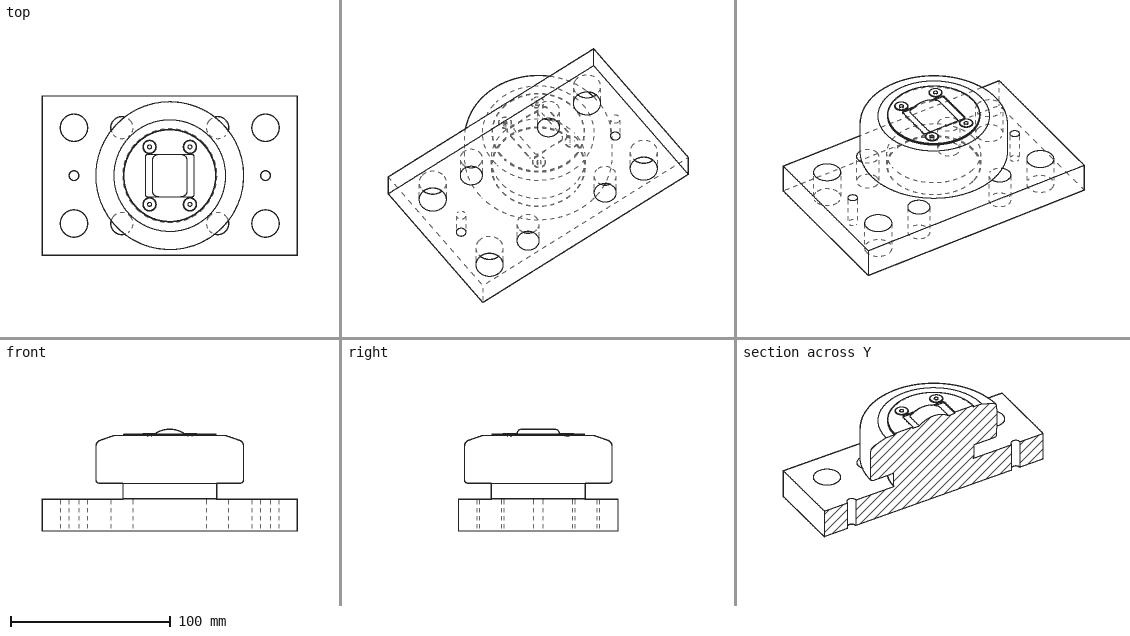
import cadquery as cq

PLATE_LENGTH = 160.0
PLATE_WIDTH = 100.0
PLATE_THICKNESS = 20.0
MOUNT_HOLE_DIAMETER = 17.0
MOUNT_HOLE_X = 60.0
INNER_HOLE_DIAMETER = 13.84
INNER_HOLE_X = 30.0
HOLE_Y = 30.0
PIN_HOLE_DIAMETER = 6.0
PIN_HOLE_X = MOUNT_HOLE_X

STUD_DIAMETER = 59.0
STUD_FOOT_CHAMFER = 0.5
STUD_FACE_DIAMETER = 58.0
STUD_FACE_CHAMFER = 0.3
STUD_TOP_Z = 61.0

ROLLER_EDGE_DIAMETER = 92.5
ROLLER_CROWN = 0.1
ROLLER_BOTTOM_Z = 30.0
ROLLER_TOP_Z = 60.0
ROLLER_TOP_FLAT_DIAMETER = 70.0
ROLLER_SHOULDER_Z = 56.1
ROLLER_TOP_FILLET = 4.0
ROLLER_BOTTOM_FILLET = 2.0
SELECTION_MARGIN = 0.1

POCKET_LENGTH_X = 30.6
POCKET_LENGTH_Y = 26.6
POCKET_DEPTH = 1.0
POCKET_CORNER_RADIUS = 1.5
SIDE_ROLLER_RADIUS = 16.5
SIDE_ROLLER_TOP_Z = 64.0
SIDE_ROLLER_CROWN = 0.1
SIDE_ROLLER_END_FILLET = 2.8

SCREW_X = 12.65
SCREW_Y = 18.0
SCREW_HEAD_DIAMETER = 8.4
SCREW_HEAD_TOP_DIAMETER = 7.8
SCREW_HEAD_HEIGHT = 0.25
SCREW_SOCKET_DIAMETER = 2.5
SCREW_SOCKET_DEPTH = 2.0


def mirrored_points(x, y):
    return [(sx * x, sy * y) for sx in (-1, 1) for sy in (-1, 1)]


def make_plate():
    plate = cq.Workplane("XY").box(
        PLATE_LENGTH, PLATE_WIDTH, PLATE_THICKNESS, centered=(True, True, False)
    )
    hole_groups = (
        (mirrored_points(MOUNT_HOLE_X, HOLE_Y), MOUNT_HOLE_DIAMETER),
        (mirrored_points(INNER_HOLE_X, HOLE_Y), INNER_HOLE_DIAMETER),
        ([(-PIN_HOLE_X, 0), (PIN_HOLE_X, 0)], PIN_HOLE_DIAMETER),
    )
    for points, diameter in hole_groups:
        plate = plate.faces(">Z").workplane(origin=(0, 0, 0)).pushPoints(points).hole(diameter)
    return plate


def make_stud():
    stud = (
        cq.Workplane("XY", origin=(0, 0, PLATE_THICKNESS))
        .circle(STUD_DIAMETER / 2)
        .extrude(ROLLER_TOP_Z - PLATE_THICKNESS)
        .faces("<Z")
        .edges()
        .chamfer(STUD_FOOT_CHAMFER)
    )
    face = (
        cq.Workplane("XY", origin=(0, 0, ROLLER_TOP_Z))
        .circle(STUD_FACE_DIAMETER / 2)
        .extrude(STUD_TOP_Z - ROLLER_TOP_Z)
        .faces(">Z")
        .edges()
        .chamfer(STUD_FACE_CHAMFER)
    )
    return stud.union(face)


def make_roller():
    edge_radius = ROLLER_EDGE_DIAMETER / 2
    middle_z = (ROLLER_BOTTOM_Z + ROLLER_SHOULDER_Z) / 2
    roller = (
        cq.Workplane("XZ")
        .moveTo(0, ROLLER_BOTTOM_Z)
        .lineTo(edge_radius, ROLLER_BOTTOM_Z)
        .threePointArc((edge_radius + ROLLER_CROWN, middle_z), (edge_radius, ROLLER_SHOULDER_Z))
        .lineTo(ROLLER_TOP_FLAT_DIAMETER / 2, ROLLER_TOP_Z)
        .lineTo(0, ROLLER_TOP_Z)
        .close()
        .revolve(360, (0, 0), (0, 1))
    )
    roller = roller.faces("<Z").edges().fillet(ROLLER_BOTTOM_FILLET)
    shoulder_edge = cq.selectors.BoxSelector(
        (-edge_radius, -edge_radius, ROLLER_SHOULDER_Z - SELECTION_MARGIN),
        (edge_radius, edge_radius, ROLLER_SHOULDER_Z + SELECTION_MARGIN),
    )
    return roller.edges(shoulder_edge).fillet(ROLLER_TOP_FILLET)


def make_pocket():
    return (
        cq.Workplane("XY", origin=(0, 0, STUD_TOP_Z - POCKET_DEPTH))
        .rect(POCKET_LENGTH_X, POCKET_LENGTH_Y)
        .extrude(POCKET_DEPTH)
        .edges("|Z")
        .fillet(POCKET_CORNER_RADIUS)
    )


def make_side_roller():
    half_length = POCKET_LENGTH_Y / 2
    edge_radius = SIDE_ROLLER_RADIUS - SIDE_ROLLER_CROWN
    axis_z = SIDE_ROLLER_TOP_Z - SIDE_ROLLER_RADIUS
    return (
        cq.Workplane("YZ", origin=(0, 0, axis_z))
        .moveTo(-half_length, 0)
        .lineTo(-half_length, edge_radius)
        .threePointArc((0, SIDE_ROLLER_RADIUS), (half_length, edge_radius))
        .lineTo(half_length, 0)
        .close()
        .revolve(360, (0, 0), (1, 0))
        .faces("|Y")
        .edges()
        .fillet(SIDE_ROLLER_END_FILLET)
    )


def make_screw_head():
    return (
        cq.Workplane("XY")
        .circle(SCREW_HEAD_DIAMETER / 2)
        .workplane(offset=SCREW_HEAD_HEIGHT)
        .circle(SCREW_HEAD_TOP_DIAMETER / 2)
        .loft()
    )


def make_screw_socket():
    return (
        cq.Workplane("XY", origin=(0, 0, SCREW_HEAD_HEIGHT))
        .circle(SCREW_SOCKET_DIAMETER / 2)
        .extrude(-SCREW_SOCKET_DEPTH)
    )


def add_screws(part):
    for x, y in mirrored_points(SCREW_X, SCREW_Y):
        place = (x, y, STUD_TOP_Z)
        part = part.union(make_screw_head().translate(place))
        part = part.cut(make_screw_socket().translate(place))
    return part


body = make_plate().union(make_stud()).union(make_roller())
body = body.cut(make_pocket()).union(make_side_roller())
result = add_screws(body)